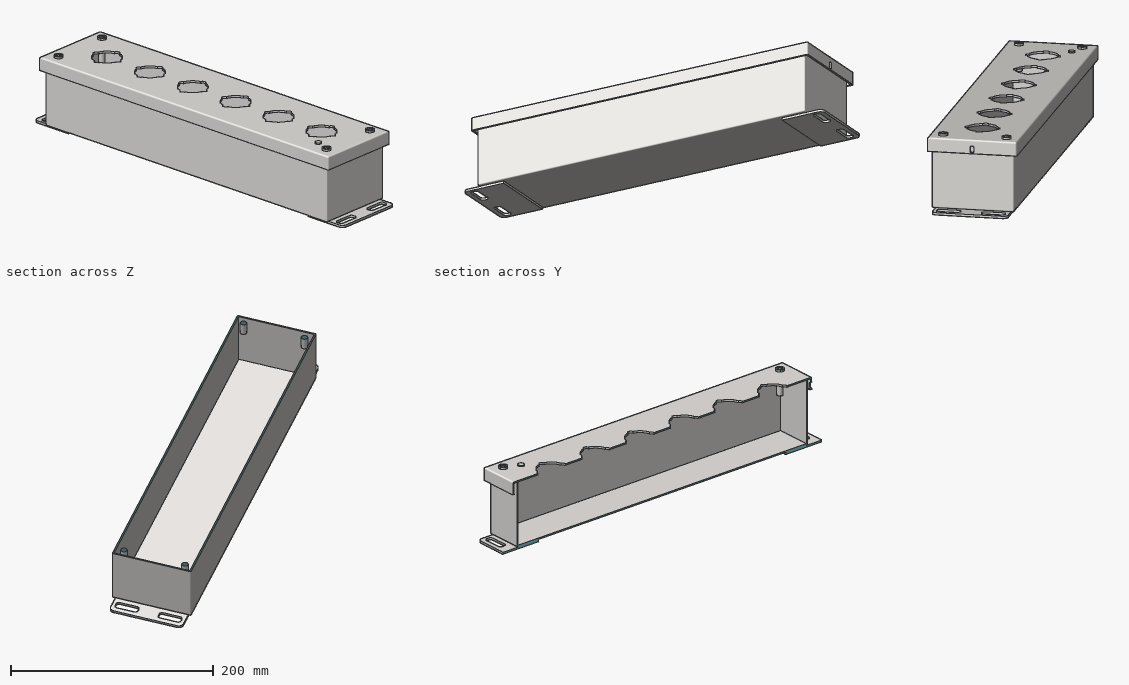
import cadquery as cq


overall_length = 409.5
overall_height = 77.0
sheet = 2.0

box_length = 373.5
box_width = 82.7
box_edge_radius = 1.2
foot_thickness = 2.5
foot_length = 46.0
foot_width = 76.0
foot_corner_radius = 5.0
foot_slot_width = 8.0
foot_slot_length = 23.8
foot_slot_corner_radius = 3.0
foot_slot_edge_gap = 5.5
foot_slot_y = 22.5

lid_length = 384.0
lid_width = 90.5
lid_height = 14.0
lid_edge_radius = 1.5
side_slot_width = 4.0
side_slot_height = 7.0
side_slot_drop = 9.5

button_count = 6
button_pitch = 57.0
button_diameter = 30.7
notch_diameter = 6.5
notch_span = 35.2

screw_x = 177.8
screw_y = 32.0
screw_head_diameter = 9.0
screw_head_height = 2.0
screw_shank_diameter = 6.5
screw_shank_length = 26.5
screw_socket_diameter = 6.5
screw_socket_depth = 1.2
socket_sides = 6

pin_x = 160.5
pin_y = -25.0
pin_diameter = 6.5
pin_projection = 1.2

lid_top = overall_height - screw_head_height
lid_underside = lid_top - sheet
box_bottom = foot_thickness


def block(length, width, height, base):
    """A centred rectangular block standing on the level `base`."""
    return cq.Workplane("XY", origin=(0, 0, base)).rect(length, width).extrude(height)


def make_foot(side):
    """A slotted mounting plate under one end of the box; `side` is -1 or 1 along X."""
    foot_x = side * (overall_length - foot_length) / 2
    slot_x = side * ((overall_length - foot_slot_width) / 2 - foot_slot_edge_gap)
    outer_edges = ">X" if side > 0 else "<X"
    foot = block(foot_length, foot_width, foot_thickness, 0).edges("|Z").edges(outer_edges)
    foot = foot.fillet(foot_corner_radius).translate((foot_x, 0, 0))
    slots = (
        cq.Workplane("XY")
        .pushPoints([(slot_x, -foot_slot_y), (slot_x, foot_slot_y)])
        .rect(foot_slot_width, foot_slot_length)
        .extrude(foot_thickness)
        .edges("|Z")
        .fillet(foot_slot_corner_radius)
    )
    return foot.cut(slots)


def make_box():
    """The open-topped box, with a mounting foot joined under each end."""
    box_height = lid_underside - box_bottom
    box = block(box_length, box_width, box_height, box_bottom)
    box = box.edges("|Z or <Z").fillet(box_edge_radius)
    cavity = block(box_length - 2 * sheet, box_width - 2 * sheet, box_height, box_bottom + sheet)
    box = box.cut(cavity)
    for side in (-1, 1):
        box = box.union(make_foot(side))
    return box


def button_cutters():
    """The notched round cutters for the row of push-button holes."""
    first_x = -(button_count - 1) * button_pitch / 2
    centres = [(first_x + i * button_pitch, 0) for i in range(button_count)]
    base = cq.Workplane("XY", origin=(0, 0, lid_underside)).pushPoints(centres)
    cutters = base.circle(button_diameter / 2).extrude(sheet)
    notch_reach = (notch_span - notch_diameter) / 2
    for x, y in ((notch_reach, 0), (-notch_reach, 0), (0, notch_reach), (0, -notch_reach)):
        notches = base.circle(notch_diameter / 2).extrude(sheet).translate((x, y, 0))
        cutters = cutters.union(notches)
    return cutters


def make_screw():
    """A hexagon-socket screw whose head rests on the lid, centred on the Z axis."""
    seat = cq.Workplane("XY", origin=(0, 0, lid_top))
    head = seat.circle(screw_head_diameter / 2).extrude(screw_head_height)
    shank = seat.circle(screw_shank_diameter / 2).extrude(-screw_shank_length)
    socket = (
        cq.Workplane("XY", origin=(0, 0, overall_height))
        .polygon(socket_sides, screw_socket_diameter)
        .extrude(-screw_socket_depth)
    )
    return head.union(shank).cut(socket)


def make_lid():
    """The flanged lid with its button holes, side slot, pin hole and four fixed screws."""
    flange_end = lid_top - lid_height
    lid = block(lid_length, lid_width, lid_height, flange_end)
    lid = lid.edges("|Z or >Z").fillet(lid_edge_radius)
    lid = lid.cut(block(lid_length - 2 * sheet, lid_width - 2 * sheet, lid_height - sheet, flange_end))
    side_slot = (
        cq.Workplane("YZ", origin=(-lid_length / 2, 0, lid_top - side_slot_drop))
        .slot2D(side_slot_height, side_slot_width, 90)
        .extrude(sheet)
    )
    pin_hole = cq.Workplane("XY", origin=(pin_x, pin_y, lid_underside)).circle(pin_diameter / 2).extrude(sheet)
    lid = lid.cut(button_cutters()).cut(side_slot).cut(pin_hole)
    for x in (-screw_x, screw_x):
        for y in (-screw_y, screw_y):
            lid = lid.union(make_screw().translate((x, y, 0)))
    return lid


def make_pin():
    """The round pin that fills its hole in the lid and stands slightly proud of it."""
    base = cq.Workplane("XY", origin=(pin_x, pin_y, lid_underside))
    return base.circle(pin_diameter / 2).extrude(sheet + pin_projection)


box = make_box()
lid = make_lid()
pin = make_pin()

result = cq.Compound.makeCompound([box.val(), lid.val(), pin.val()])